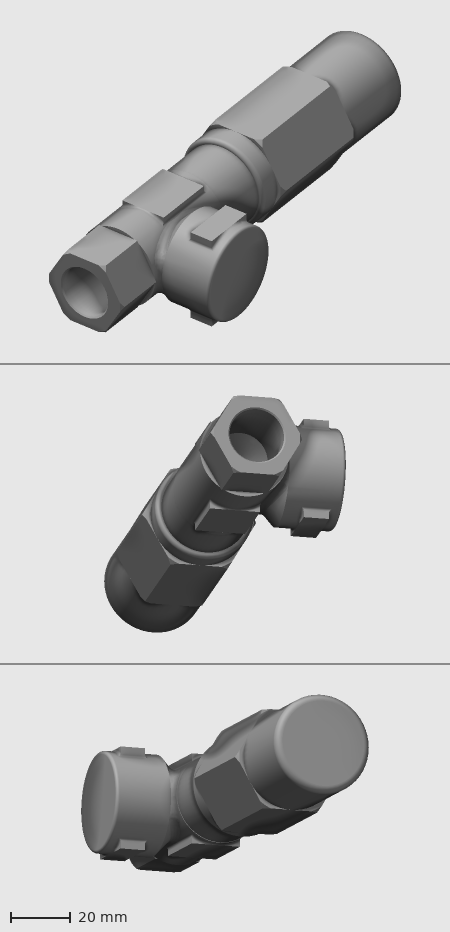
import cadquery as cq
import math


total_length = 158.0
small_hex_end = 19.1
body_end = 59.2
neck_end = 78.0
collar_end = 86.0
large_hex_end = 127.3

small_hex_flats = 27.2
small_hex_chamfer_depth = 1.0
small_hex_chamfer_length = 1.3
large_hex_flats = 33.8
large_hex_chamfer_depth = 1.1
large_hex_chamfer_length = 1.6
body_radius = 15.2
neck_radius = 15.0
cap_radius = large_hex_flats / 2
cap_fillet = 2.4
collar_fillet = 1.6

bore_radius = 9.3
bore_depth = 25.3
bore_mouth_chamfer = 0.5
drill_tip_angle = 118.0

port_y = 39.0
port_radius = 17.2
port_end = 35.5
port_shoulder = 16.1
port_rim_fillet = 1.1
port_root_fillet = 2.4

pad_foot_fillet = 1.0
body_pad_width = 17.0
body_pad_start = 33.2
body_pad_end = 56.0
body_pad_height = 15.3
port_pad_start = 22.6
port_pad_end = 31.3
port_pad_length = 19.7
port_pad_height = 17.4


def turned(profile):
    """Solid turned about the main axis from (radius, y) points."""
    outline = [(-radius, y) for radius, y in profile]
    return cq.Workplane("XY").polyline(outline).close().revolve(360, (0, 0), (0, 1))


def shaft(radius, start, end):
    """Plain round section of the main axis."""
    return turned([(0, start), (radius, start), (radius, end), (0, end)])


def hexagon(flats, start, end, chamfer_depth, chamfer_length, chamfer_both_ends):
    """Hexagonal section with corners on X, its corners chamfered at the ends."""
    corner_radius = flats / 2 / math.cos(math.pi / 6)
    prism = cq.Workplane("XZ", origin=(0, start, 0)).polygon(6, 2 * corner_radius).extrude(start - end)
    face_radius = corner_radius - chamfer_depth
    profile = [(0, start), (face_radius, start), (corner_radius, start + chamfer_length)]
    if chamfer_both_ends:
        profile += [(corner_radius, end - chamfer_length), (face_radius, end)]
    else:
        profile += [(corner_radius, end)]
    profile += [(0, end)]
    return prism.intersect(turned(profile))


def side_port():
    """Closed round port with a 45 degree cone running down into the body."""
    profile = [
        (port_shoulder - port_radius, 0),
        (port_shoulder, port_radius),
        (port_end, port_radius),
        (port_end, 0),
    ]
    port = cq.Workplane("XY").polyline(profile).close().revolve(360, (0, 0), (1, 0))
    port = port.faces(">X").edges().fillet(port_rim_fillet)
    return port.translate((0, port_y, 0))


def body_with_port():
    """Round body and side port, blended where they meet."""
    body = shaft(body_radius, small_hex_end, body_end)
    joined = body.union(side_port())
    seam = [edge for edge in joined.edges().vals() if edge.geomType() == "BSPLINE"]
    return cq.Workplane(joined.val().fillet(port_root_fillet, seam))


def neck_collar_and_cap():
    """Turned sections behind the body; the collar and the cap have rounded outer rims."""
    neck = shaft(neck_radius, body_end, neck_end)
    sleeve = shaft(cap_radius, neck_end, total_length)
    sleeve = sleeve.faces("<Y").edges().fillet(collar_fillet)
    sleeve = sleeve.faces(">Y").edges().fillet(cap_fillet)
    return neck.union(sleeve)


def bore():
    """Drilled hole with a conical bottom and a chamfered mouth."""
    tip_length = bore_radius / math.tan(math.radians(drill_tip_angle / 2))
    return turned([
        (0, 0),
        (bore_radius + bore_mouth_chamfer, 0),
        (bore_radius, bore_mouth_chamfer),
        (bore_radius, bore_depth),
        (0, bore_depth + tip_length),
    ])


def add_pads(solid, x_start, x_end, y_start, y_end, height):
    """Add a pad on the top and on the bottom, with filleted feet."""
    size_x = x_end - x_start
    size_y = y_end - y_start
    centre = ((x_start + x_end) / 2, (y_start + y_end) / 2, 0)
    padded = solid.union(cq.Workplane("XY").box(size_x, size_y, 2 * height).translate(centre))
    margin = 0.02
    around_feet = cq.selectors.BoxSelector(
        (x_start - margin, y_start - margin, margin - height),
        (x_end + margin, y_end + margin, height - margin),
        boundingbox=True,
    )
    feet = padded.edges(around_feet).edges("not |Z")
    return cq.Workplane(padded.val().fillet(pad_foot_fillet, feet.vals()))


result = body_with_port()
half_width = body_pad_width / 2
result = add_pads(result, -half_width, half_width, body_pad_start, body_pad_end, body_pad_height)
half_length = port_pad_length / 2
result = add_pads(
    result,
    port_pad_start,
    port_pad_end,
    port_y - half_length,
    port_y + half_length,
    port_pad_height,
)
result = result.union(neck_collar_and_cap())
result = result.union(
    hexagon(
        large_hex_flats,
        collar_end,
        large_hex_end,
        large_hex_chamfer_depth,
        large_hex_chamfer_length,
        chamfer_both_ends=True,
    )
)
result = result.union(
    hexagon(
        small_hex_flats,
        0,
        small_hex_end,
        small_hex_chamfer_depth,
        small_hex_chamfer_length,
        chamfer_both_ends=False,
    )
)
result = result.cut(bore())